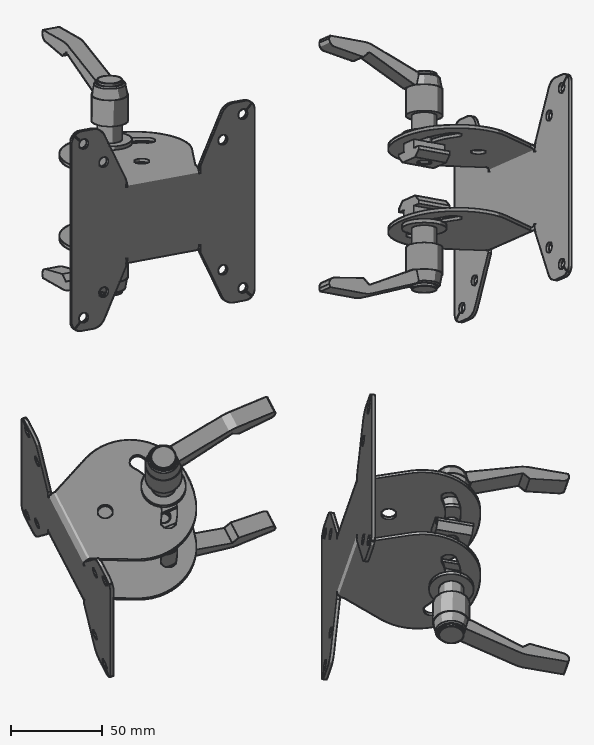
import cadquery as cq
import math


sheet = 2.0
plate_size = 115.0
plate_back = 58.6
plate_front = plate_back - sheet
flange_top = 24.6
flange_bottom = flange_top - sheet
bend_inner = 2.0
bend_outer = bend_inner + sheet
bend_half_width = 22.5
bend_start = plate_back - bend_outer
bend_end = flange_top - bend_outer
relief_width = 1.0

ear_top_inner_y = 39.2
ear_foot_z = 25.2
ear_outer_radius = 6.0
ear_inner_radius = 8.0
ear_hole_diameter = 5.7
ear_hole_offsets = (37.5, 50.0)
slit_width = 0.5

pivot_x = 35.0
pivot_hole_diameter = 8.3
flange_nose_radius = 49.9
flange_side_radius = 31.6
flange_nose_half_angle = math.radians(17)
slot_half_angle = math.radians(35)
slot_width = 8.5

washer_radius = 12.2
washer_top = 26.7
pin_radius = 6.9
stud_radius = 4.0
hub_radius = 10.0
hub_bottom = 37.5
hub_cone_start = 52.5
hub_cone_radius = 9.7
hub_shoulder = 59.5
hub_shoulder_radius = 8.6
hub_bevel = 0.9
cap_top = 61.2
cap_chamfer = 0.3

lever_width = 10.3
lever_top = 71.5
lever_tip_x = -64.9
lever_bend_x = -39.5
lever_bend_radius = 15.0
lever_root_x = -pin_radius
lever_root_z = 59.6
lever_tip_bottom_z = 66.0
lever_tip_bevel_length = 0.7
lever_tip_bevel_height = 1.7
lever_tip_bottom_radius = 4.0
grip_end = (-42.8, 62.8)
arm_start = (-38.9, 66.0)

nut_length = 20.0
nut_neck_half_width = 5.1
nut_half_width = 10.0
nut_base_half_width = 6.3
nut_top = 21.3
nut_ledge = 16.5
nut_chamfer_top = 14.5
nut_base = 10.9
nut_hole_radius = 3.5
nut_hole_depth = 3.3


def polar(centre, radius, angle):
    return (centre[0] + radius * math.cos(angle), centre[1] + radius * math.sin(angle))


def mirror_y(point):
    return (point[0], -point[1])


def edge_at(x, y, z):
    """Picks the straight edge whose midpoint is at the given place."""
    reach = 0.1
    return cq.selectors.BoxSelector((x - reach, y - reach, z - reach), (x + reach, y + reach, z + reach))


def make_plate():
    """Square plate with four ears; the middle is cut back to the bend lines."""
    half = plate_size / 2
    relief_outer_y = bend_half_width + relief_width
    upper_right = [
        (0, bend_end),
        (relief_outer_y, bend_end),
        (relief_outer_y, ear_foot_z),
        (ear_top_inner_y, half),
        (half, half),
        (half, 0),
        (0, 0),
    ]
    quarter = cq.Workplane("YZ", origin=(plate_front, 0, 0)).polyline(upper_right).close().extrude(sheet)
    plate_middle_x = plate_front + sheet / 2
    quarter = quarter.edges(edge_at(plate_middle_x, half, half)).fillet(ear_outer_radius)
    quarter = quarter.edges(edge_at(plate_middle_x, ear_top_inner_y, half)).fillet(ear_inner_radius)

    holes = [(offset, offset) for offset in ear_hole_offsets]
    cutter = cq.Workplane("YZ", origin=(plate_front, 0, 0)).pushPoints(holes)
    cutter = cutter.circle(ear_hole_diameter / 2).extrude(sheet)

    slit_length = math.hypot(half, half) / 2
    slit = (
        cq.Workplane("XY")
        .box(sheet, slit_length, slit_width, centered=(False, False, True))
        .rotate((0, 0, 0), (1, 0, 0), 45)
        .translate((plate_front, max(ear_hole_offsets), max(ear_hole_offsets)))
    )
    quarter = quarter.cut(cutter).cut(slit)
    upper = quarter.union(quarter.mirror("XZ"))
    return upper.union(upper.mirror("XY"))


def make_bend():
    """Quarter-round fold joining the flange to the plate."""
    axis = (bend_start, bend_end)
    middle = math.radians(45)
    return (
        cq.Workplane("XZ")
        .moveTo(bend_start, flange_bottom)
        .lineTo(bend_start, flange_top)
        .threePointArc(polar(axis, bend_outer, middle), (plate_back, bend_end))
        .lineTo(plate_front, bend_end)
        .threePointArc(polar(axis, bend_inner, middle), (bend_start, flange_bottom))
        .close()
        .extrude(bend_half_width, both=True)
    )


def make_flange():
    """Rounded flange: a nose arc about the pivot blends into two side arcs, then straight tapers."""
    pivot = (pivot_x, 0)
    nose_end_angle = math.pi - flange_nose_half_angle
    nose_end = polar(pivot, flange_nose_radius, nose_end_angle)
    side_centre = polar(pivot, flange_nose_radius - flange_side_radius, nose_end_angle)
    root = (bend_start, bend_half_width)

    root_dx = root[0] - side_centre[0]
    root_dy = root[1] - side_centre[1]
    root_distance = math.hypot(root_dx, root_dy)
    tangent_angle = math.atan2(root_dy, root_dx) + math.acos(flange_side_radius / root_distance)
    side_end = polar(side_centre, flange_side_radius, tangent_angle)
    side_middle = polar(side_centre, flange_side_radius, (tangent_angle + nose_end_angle) / 2)

    flange = (
        cq.Workplane("XY", origin=(0, 0, flange_bottom))
        .moveTo(*root)
        .lineTo(*side_end)
        .threePointArc(side_middle, nose_end)
        .threePointArc((pivot_x - flange_nose_radius, 0), mirror_y(nose_end))
        .threePointArc(mirror_y(side_middle), mirror_y(side_end))
        .lineTo(*mirror_y(root))
        .close()
        .extrude(sheet)
    )
    return flange.cut(make_slot_cutter())


def make_slot_cutter():
    """Round-ended slot that follows a circle about the pivot and passes under the pin."""
    pivot = (pivot_x, 0)
    end_angle = math.pi - slot_half_angle
    inner_radius = pivot_x - slot_width / 2
    outer_radius = pivot_x + slot_width / 2
    outer_end = polar(pivot, outer_radius, end_angle)
    inner_end = polar(pivot, inner_radius, end_angle)
    cap_centre = polar(pivot, pivot_x, end_angle)
    cap_tip = polar(cap_centre, slot_width / 2, end_angle - math.pi / 2)
    return (
        cq.Workplane("XY", origin=(0, 0, flange_bottom))
        .moveTo(*mirror_y(outer_end))
        .threePointArc((pivot_x - outer_radius, 0), outer_end)
        .threePointArc(cap_tip, inner_end)
        .threePointArc((pivot_x - inner_radius, 0), mirror_y(inner_end))
        .threePointArc(mirror_y(cap_tip), mirror_y(outer_end))
        .close()
        .extrude(sheet)
    )


def make_pivot_hole_cutter():
    """Pivot hole through the upper flange."""
    base = cq.Workplane("XY", origin=(pivot_x, 0, flange_bottom))
    return base.circle(pivot_hole_diameter / 2).extrude(sheet)


def make_pin():
    """Stud, washer, pin, tapered hub and cap turned about the Z axis."""
    profile = [
        (0, nut_ledge),
        (stud_radius, nut_ledge),
        (stud_radius, flange_top),
        (washer_radius, flange_top),
        (washer_radius, washer_top),
        (pin_radius, washer_top),
        (pin_radius, hub_bottom),
        (hub_radius, hub_bottom),
        (hub_radius, hub_cone_start),
        (hub_cone_radius, hub_cone_start),
        (hub_shoulder_radius, hub_shoulder - hub_bevel),
        (hub_shoulder_radius - hub_bevel, hub_shoulder),
        (pin_radius, hub_shoulder),
        (pin_radius, cap_top - cap_chamfer),
        (pin_radius - cap_chamfer, cap_top),
        (0, cap_top),
    ]
    return cq.Workplane("XZ").polyline(profile).close().revolve(360, (0, 0, 0), (0, 1, 0))


def make_lever():
    """Cranked lever whose arm runs down into the hub."""
    outline = [
        (lever_tip_x, lever_top - lever_tip_bevel_height),
        (lever_tip_x + lever_tip_bevel_length, lever_top),
        (lever_bend_x, lever_top),
        (lever_root_x, lever_root_z),
        (lever_root_x, hub_cone_start),
        (-hub_radius, hub_cone_start),
        arm_start,
        grip_end,
        (lever_tip_x, lever_tip_bottom_z),
    ]
    lever = cq.Workplane("XZ").polyline(outline).close().extrude(lever_width / 2, both=True)
    lever = lever.edges(edge_at(lever_bend_x, 0, lever_top)).fillet(lever_bend_radius)
    return lever.edges(edge_at(lever_tip_x, 0, lever_tip_bottom_z)).fillet(lever_tip_bottom_radius)


def make_nut():
    """T-slot nut with chamfered lower flanks and a countersunk hole below the end of the stud."""
    right_side = [
        (nut_neck_half_width, nut_top),
        (nut_neck_half_width, nut_ledge),
        (nut_half_width, nut_ledge),
        (nut_half_width, nut_chamfer_top),
        (nut_base_half_width, nut_base),
    ]
    left_side = [(-y, z) for y, z in reversed(right_side)]
    nut = cq.Workplane("YZ").polyline(right_side + left_side).close().extrude(nut_length / 2, both=True)
    hole = cq.Workplane("XY", origin=(0, 0, nut_base)).circle(nut_hole_radius).extrude(nut_hole_depth)
    countersink_depth = stud_radius - nut_hole_radius
    countersink = cq.Solid.makeCone(stud_radius, nut_hole_radius, countersink_depth, pnt=(0, 0, nut_base))
    return nut.cut(hole).cut(cq.Workplane(countersink))


upper_arm = make_flange().union(make_bend()).union(make_nut()).union(make_pin()).union(make_lever())
result = make_plate().union(upper_arm).union(upper_arm.mirror("XY"))

result = result.cut(make_pivot_hole_cutter())